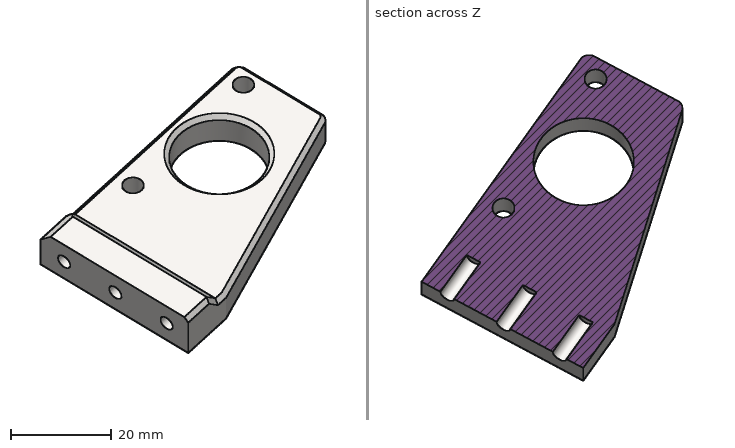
import cadquery as cq

width = 37.9
length = 62.4
back_width = 23.1
straight_side_length = 12.0
corner_radius = 2.0

block_height = 10.0
plate_height = 7.2
block_top_depth = 7.0
ramp_end = block_top_depth + block_height - plate_height

edge_chamfer = 1.0
upward_limit = 0.5
block_corner_chamfer = 2.6

bore_x = 13.0
bore_y = 40.55
bore_diameter = 19.95
screw_hole_x = 5.0
screw_hole_offset = 17.45
screw_hole_diameter = 4.3

front_hole_diameter = 3.1
front_hole_depth = 10.0
front_hole_first_x = 6.05
front_hole_spacing = 13.15
front_hole_count = 3
front_hole_z = block_height / 2


def make_body():
    """Tapered outline with rounded back corners, limited by the stepped side profile."""
    outline = (
        cq.Workplane("XY")
        .polyline([
            (0, 0),
            (width, 0),
            (width, straight_side_length),
            (back_width, length),
            (0, length),
        ])
        .close()
        .extrude(block_height)
        .edges("|Z and >Y")
        .fillet(corner_radius)
    )
    side_profile = (
        cq.Workplane("YZ")
        .polyline([
            (0, 0),
            (length, 0),
            (length, plate_height),
            (ramp_end, plate_height),
            (block_top_depth, block_height),
            (0, block_height),
        ])
        .close()
        .extrude(width)
    )
    return outline.intersect(side_profile)


def chamfer_top_rim(body):
    """Chamfer the outer top edges, leaving the front edge and the ramp's cross edges sharp."""
    top_faces = [face for face in body.faces().vals() if face.normalAt().z > upward_limit]
    top_edges = [edge for face in top_faces for edge in face.Edges()]
    rim = [
        edge for edge in top_edges
        if edge.Center().y > ramp_end or edge.BoundingBox().ylen > edge_chamfer
    ]
    return body.newObject(rim).chamfer(edge_chamfer)


def chamfer_block_corner(body):
    """Cut the wider chamfer on the left top edge of the front block."""
    wedge = (
        cq.Workplane("XZ")
        .polyline([
            (0, block_height),
            (block_corner_chamfer, block_height),
            (0, block_height - block_corner_chamfer),
        ])
        .close()
        .extrude(-ramp_end)
    )
    return body.cut(wedge)


def cut_bore(body):
    """Cut the bore and its conical rim."""
    bore = cq.Workplane("XY").center(bore_x, bore_y).circle(bore_diameter / 2).extrude(plate_height)
    rim = cq.Solid.makeCone(
        bore_diameter / 2,
        bore_diameter / 2 + edge_chamfer,
        edge_chamfer,
        pnt=cq.Vector(bore_x, bore_y, plate_height - edge_chamfer),
    )
    return body.cut(bore).cut(cq.Workplane(rim))


def cut_screw_holes(body):
    """Cut the two holes through the plate."""
    holes = (
        cq.Workplane("XY")
        .pushPoints([(screw_hole_x, bore_y + side * screw_hole_offset) for side in (-1, 1)])
        .circle(screw_hole_diameter / 2)
        .extrude(plate_height)
    )
    return body.cut(holes)


def cut_front_holes(body):
    """Cut the row of blind holes backwards from the front face."""
    centers = [
        (front_hole_first_x + index * front_hole_spacing, front_hole_z)
        for index in range(front_hole_count)
    ]
    holes = cq.Workplane("XZ").pushPoints(centers).circle(front_hole_diameter / 2).extrude(-front_hole_depth)
    return body.cut(holes)


body = make_body()
body = chamfer_top_rim(body)
body = chamfer_block_corner(body)
body = cut_bore(body)
body = cut_screw_holes(body)
result = cut_front_holes(body)